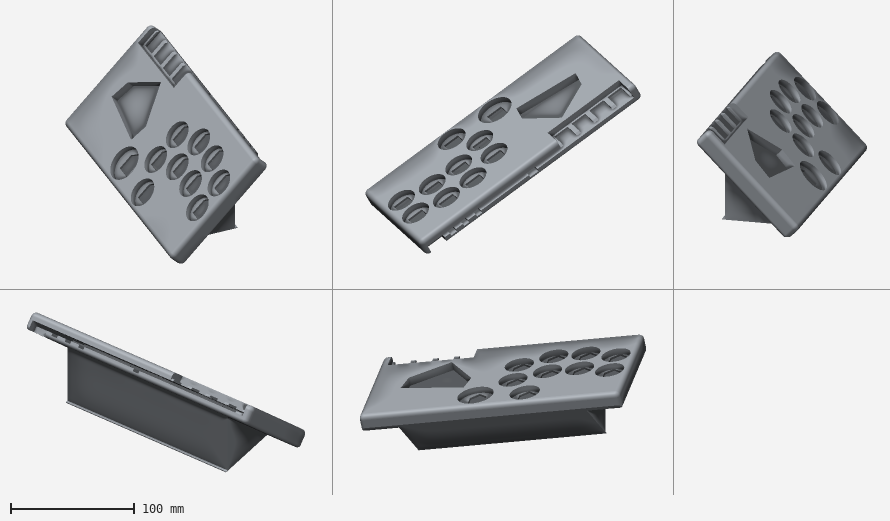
import cadquery as cq
import math

TILT = 45.0
CASE_WIDTH = 219.0
CASE_LENGTH = 108.8
CASE_THICKNESS = 15.5
OUTER_RADIUS = 4.2
BOTTOM_RADIUS = 2.8
CORNER_Y = -33.0
CORNER_Z = -3.0

SIDE_WALL = 4.4
RECESS_DEPTH = 5.5
PLATE_THICKNESS = 1.8
PLATE_TOP = CASE_THICKNESS - RECESS_DEPTH
PLATE_BOTTOM = PLATE_TOP - PLATE_THICKNESS

BUTTON_DIAMETER = 24.0
LARGE_BUTTON_DIAMETER = 30.0
THUMB_BUTTON_DIAMETER = 25.0
ROW_PITCH = 27.0
COLUMNS = [(12.5, 42.0), (39.5, 52.3), (66.4, 52.3), (93.3, 44.2)]
LARGE_BUTTON = (-14.7, 19.7)
THUMB_BUTTON = (27.4, 16.5)

SWITCH_SIZE = 14.0
ROOF_HEIGHT = 6.1

KEY_OPENING = [(-47.5, 85.6), (-24.7, 52.8), (-27.8, 36.1), (-82.8, 45.8), (-79.3, 63.7)]

SLOT_LEFT = -102.5
SLOT_RIGHT = -30.2
SLOT_FRONT = 90.9
WINDOW_FRONT = 92.9
WINDOWS = [(-100.5, -87.0), (-82.8, -68.5), (-64.2, -50.5), (-46.5, -32.8)]
FINGER_TOP_Z = 79.7

COVER_LEFT = -103.0
COVER_RIGHT = CASE_WIDTH / 2 - SIDE_WALL
COVER_THICKNESS = 5.3
CABLE_NOTCH_LEFT = 89.4
CABLE_NOTCH_LENGTH = 11.0
POCKETS = [(-4.5, 4.0), (52.5, 57.8), (65.7, 71.0), (78.2, 84.0)]
POCKET_LENGTH = 11.0
POCKET_FLOOR = 2.8

LEDGE_HEIGHT = 1.8
LEDGES = [
    (-100.3, -87.2, 92.0),
    (-46.9, -28.3, 37.5),
    (-22.0, -7.7, 12.5),
    (4.4, 14.5, 35.7),
    (39.6, 73.4, 45.5),
    (86.0, 100.3, 37.5),
]

STAND_WIDTH = 157.7
STAND_BACK = 26.7
FLANGE_BACK = 29.0
FLANGE_THICKNESS = 0.9
GAP = 1.0
BACK_LIP = 0.9
FRONT_PAD_BACK = -16.6


def box(x0, x1, y0, y1, z0, z1):
    """Box between two corners."""
    return cq.Workplane("XY").box(x1 - x0, y1 - y0, z1 - z0, centered=False).translate((x0, y0, z0))


def tilted(body):
    """Tip a flat body up to its place and cut it off at the ground."""
    placed = body.rotate((0, 0, 0), (1, 0, 0), TILT).translate((0, CORNER_Y, CORNER_Z))
    half = CASE_WIDTH
    below_ground = box(-half, half, -half, half, -half, 0)
    return placed.cut(below_ground).solids()


def outer_block():
    """Rounded outside of the case and its cover together."""
    half = CASE_WIDTH / 2
    block = box(-half, half, 0, CASE_LENGTH, 0, CASE_THICKNESS)
    block = block.edges("|Z or >Z").fillet(OUTER_RADIUS)
    return block.faces("<Z").edges().fillet(BOTTOM_RADIUS)


def switch_opening(x, y):
    """Square switch opening with a pointed roof, through the plate."""
    half = SWITCH_SIZE / 2
    outline = [(-half, -half), (half, -half), (half, half), (0, half + ROOF_HEIGHT), (-half, half)]
    return (
        cq.Workplane("XY", origin=(x, y, PLATE_BOTTOM))
        .polyline(outline).close().extrude(PLATE_THICKNESS)
    )


def button(place, diameter):
    """Round recess down to the plate, with the switch opening in its floor."""
    x, y = place
    recess = cq.Workplane("XY", origin=(x, y, PLATE_TOP)).circle(diameter / 2).extrude(RECESS_DEPTH)
    return recess.union(switch_opening(x, y))


def small_button_slot():
    """Recess open to the back, with windows and level-cut fingers."""
    slot = box(SLOT_LEFT, SLOT_RIGHT, SLOT_FRONT, CASE_LENGTH, PLATE_TOP, CASE_THICKNESS)
    for left, right in WINDOWS:
        slot = slot.union(box(left, right, WINDOW_FRONT, CASE_LENGTH, PLATE_BOTTOM, PLATE_TOP))
    tilt = math.radians(TILT)
    reach = (FINGER_TOP_Z - CORNER_Z) / math.sin(tilt)
    profile = [
        (reach - PLATE_TOP / math.tan(tilt), PLATE_TOP),
        (reach - PLATE_BOTTOM / math.tan(tilt), PLATE_BOTTOM),
        (CASE_LENGTH + PLATE_THICKNESS, PLATE_BOTTOM),
        (CASE_LENGTH + PLATE_THICKNESS, PLATE_TOP),
    ]
    finger_ends = (
        cq.Workplane("YZ", origin=(SLOT_LEFT, 0, 0))
        .polyline(profile).close().extrude(SLOT_RIGHT - SLOT_LEFT)
    )
    return slot.union(finger_ends)


def make_case():
    """Hollow case, open below and at the back, with all its face openings."""
    case = outer_block()
    case = case.cut(box(COVER_LEFT, COVER_RIGHT, SIDE_WALL, CASE_LENGTH, 0, PLATE_BOTTOM))
    for x, y in COLUMNS:
        case = case.cut(button((x, y), BUTTON_DIAMETER))
        case = case.cut(button((x, y + ROW_PITCH), BUTTON_DIAMETER))
    case = case.cut(button(LARGE_BUTTON, LARGE_BUTTON_DIAMETER))
    case = case.cut(button(THUMB_BUTTON, THUMB_BUTTON_DIAMETER))
    key_opening = (
        cq.Workplane("XY", origin=(0, 0, PLATE_BOTTOM))
        .polyline(KEY_OPENING).close().extrude(CASE_THICKNESS - PLATE_BOTTOM)
    )
    case = case.cut(key_opening).cut(small_button_slot())
    return tilted(case)


def ledge(left, right, upper_edge):
    """Rib on the cover, rising down the slope, whose top is level once tilted."""
    profile = [
        (upper_edge - LEDGE_HEIGHT, COVER_THICKNESS),
        (upper_edge, COVER_THICKNESS),
        (upper_edge - LEDGE_HEIGHT, COVER_THICKNESS + LEDGE_HEIGHT),
    ]
    return cq.Workplane("YZ", origin=(left, 0, 0)).polyline(profile).close().extrude(right - left)


def make_cover():
    """Floor of the case, with ribs below the switches, back pockets and a cable notch."""
    cover = box(COVER_LEFT, COVER_RIGHT, SIDE_WALL, CASE_LENGTH, 0, COVER_THICKNESS)
    for left, right in POCKETS:
        pocket_front = CASE_LENGTH - POCKET_LENGTH
        cover = cover.cut(box(left, right, pocket_front, CASE_LENGTH, POCKET_FLOOR, COVER_THICKNESS))
    notch_front = CASE_LENGTH - CABLE_NOTCH_LENGTH
    cover = cover.cut(box(CABLE_NOTCH_LEFT, COVER_RIGHT, notch_front, CASE_LENGTH, 0, COVER_THICKNESS))
    for left, right, upper_edge in LEDGES:
        cover = cover.union(ledge(left, right, upper_edge))
    return tilted(cover.intersect(outer_block()))


def make_stand():
    """Wedge under the cover, touching it along the front pad and the back lip only."""
    rise = CORNER_Z - CORNER_Y
    lip_front = STAND_BACK - BACK_LIP
    profile = [
        (-rise, 0),
        (FLANGE_BACK, 0),
        (FLANGE_BACK, FLANGE_THICKNESS),
        (STAND_BACK, FLANGE_THICKNESS),
        (STAND_BACK, STAND_BACK + rise),
        (lip_front, lip_front + rise),
        (lip_front, lip_front + rise - GAP),
        (FRONT_PAD_BACK, FRONT_PAD_BACK + rise - GAP),
        (FRONT_PAD_BACK, FRONT_PAD_BACK + rise),
    ]
    return (
        cq.Workplane("YZ", origin=(-STAND_WIDTH / 2, 0, 0))
        .polyline(profile).close().extrude(STAND_WIDTH)
    )


case = make_case()
cover = make_cover()
stand = make_stand()
result = cq.Compound.makeCompound([case.val(), cover.val(), stand.val()])